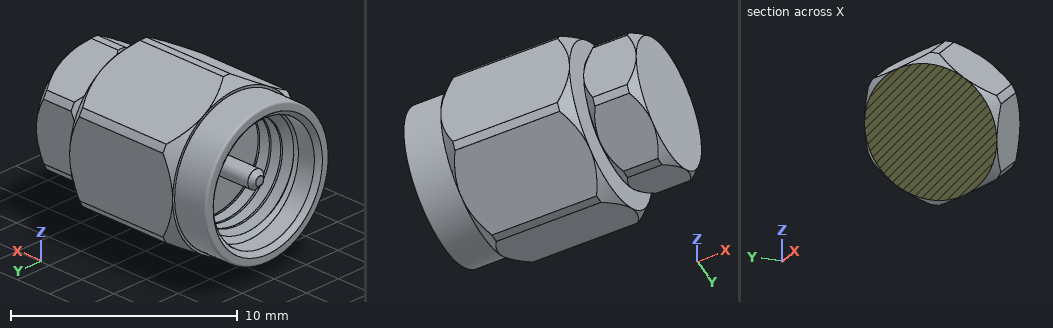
import cadquery as cq
import math


total_length = 11.2
collar_length = 1.95
coupling_nut_length = 6.37
neck_length = 0.28
coupling_nut_start = collar_length
coupling_nut_end = coupling_nut_start + coupling_nut_length
rear_nut_start = coupling_nut_end + neck_length
rear_nut_length = total_length - rear_nut_start

collar_diameter = 7.75
collar_fillet = 0.125
neck_diameter = 4.8
coupling_nut_flats = 8.0
coupling_nut_corners = 9.0
rear_nut_flats = 6.35
rear_nut_corners = 7.1
hex_chamfer_angle = 40.0

entry_bore_diameter = 6.35
mouth_chamfer = 0.25
entry_bore_end = 1.24
thread_pitch = 0.7
thread_depth = 0.458
thread_half_angle = 33.0
thread_minor_radius = entry_bore_diameter / 2 - thread_depth
root_clearance = 0.001
crest_overlap = 0.05
thread_entry_angle = -35.0
floor_position = 3.45

pin_diameter = 1.0
pin_tip_diameter = 0.5
pin_tip_position = 0.5
pin_tip_length = 0.25


def cylinder(start, end, diameter):
    """Round bar on the X axis between two stations."""
    return cq.Workplane("YZ", origin=(start, 0, 0)).circle(diameter / 2).extrude(end - start)


def revolve_profile(points):
    """Solid of revolution about X from (x, radius) points."""
    return cq.Workplane("XY").polyline(points).close().revolve(360, (0, 0, 0), (1, 0, 0))


def hex_nut(start, length, flats, corners):
    """Hexagon with flats facing Y, rounded corners and conical chamfers at both ends."""
    end = start + length
    corner_radius = corners / 2
    face_radius = flats / 2
    chamfer_length = (corner_radius - face_radius) / math.tan(math.radians(hex_chamfer_angle))
    hexagon = (
        cq.Workplane("YZ", origin=(start, 0, 0))
        .polygon(6, flats, circumscribed=True)
        .extrude(length)
    )
    envelope = revolve_profile([
        (start, 0),
        (start, face_radius),
        (start + chamfer_length, corner_radius),
        (end - chamfer_length, corner_radius),
        (end, face_radius),
        (end, 0),
    ])
    return hexagon.intersect(envelope)


def bore():
    """Chamfered mouth, plain entry bore, 45 degree lead-in cone and thread minor bore."""
    entry_radius = entry_bore_diameter / 2
    return revolve_profile([
        (0, 0),
        (0, entry_radius + mouth_chamfer),
        (mouth_chamfer, entry_radius),
        (entry_bore_end, entry_radius),
        (entry_bore_end + thread_depth, thread_minor_radius),
        (coupling_nut_end, thread_minor_radius),
        (coupling_nut_end, 0),
    ])


def thread_groove():
    """Right-hand helical V groove, ending beyond the bore floor."""
    root_radius = entry_bore_diameter / 2 - root_clearance
    base_radius = thread_minor_radius - crest_overlap
    half_width = (root_radius - base_radius) * math.tan(math.radians(thread_half_angle))
    helix_start = entry_bore_end - thread_pitch
    helix_length = floor_position + thread_pitch - helix_start
    helix = cq.Wire.makeHelix(thread_pitch, helix_length, root_radius)
    groove = (
        cq.Workplane("XZ")
        .polyline([(root_radius, 0), (base_radius, half_width), (base_radius, -half_width)])
        .close()
        .sweep(cq.Workplane(obj=helix), isFrenet=True)
    )
    along_x = groove.rotate((0, 0, 0), (0, 1, 0), 90).rotate((0, 0, 0), (1, 0, 0), 180)
    return along_x.rotate((0, 0, 0), (1, 0, 0), thread_entry_angle).translate((helix_start, 0, 0))


def centre_pin():
    """Pin standing on the bore floor, with a conical tip."""
    return revolve_profile([
        (pin_tip_position, 0),
        (pin_tip_position, pin_tip_diameter / 2),
        (pin_tip_position + pin_tip_length, pin_diameter / 2),
        (coupling_nut_end, pin_diameter / 2),
        (coupling_nut_end, 0),
    ])


collar = cylinder(0, coupling_nut_end, collar_diameter).faces("<X").edges().fillet(collar_fillet)
coupling_nut = hex_nut(coupling_nut_start, coupling_nut_length, coupling_nut_flats, coupling_nut_corners)
shell = collar.union(coupling_nut).cut(bore()).cut(thread_groove())

core = cylinder(floor_position, coupling_nut_end, entry_bore_diameter)
neck = cylinder(floor_position, rear_nut_start, neck_diameter)
rear_nut = hex_nut(rear_nut_start, rear_nut_length, rear_nut_flats, rear_nut_corners)

result = shell.union(core).union(neck).union(rear_nut).union(centre_pin())